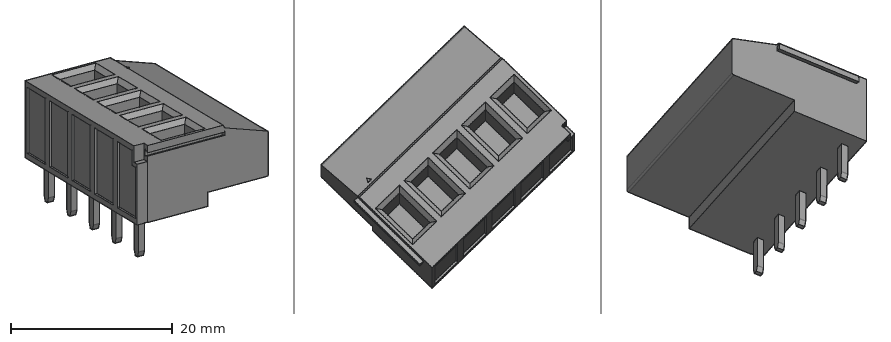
import cadquery as cq


POLES = 5
PITCH = 5.0
FIRST_POLE_X = 2.48
POLE_CENTERS = [FIRST_POLE_X + i * PITCH for i in range(POLES)]

BODY_WIDTH = 25.0
BODY_DEPTH = 19.45
BODY_HEIGHT = 10.4
TOP_BACK_Y = 12.7
LEDGE_Y = 13.0
LEDGE_Z = 9.97
ROOF_BACK_Z = 7.95
FOOT_BACK_Y = 10.45
OVERHANG_Z = 1.9
BACK_EDGE_RADIUS = 0.25

PLATE_THICKNESS = 1.5
PLATE_WIDTH = 24.9
NOTCH_WIDTH = 0.75
NOTCH_HEIGHT = 2.2

WINDOW_WIDTH = 4.0
WINDOW_MARGIN_Z = 0.75
WINDOW_DEPTH = 0.3
NOTCH_WALL_X = 0.45
NOTCH_WALL_Z = 0.55

WELL_WIDTH = 3.0
WELL_LENGTH = 5.3
WELL_CENTER_Y = 7.03
WELL_DEPTH = 6.0
WELL_CHAMFER = 0.6

RAIL_Z = 9.2
RAIL_REACH = 0.64
RAIL_ROOT_HEIGHT = 0.45
RAIL_TIP_HEIGHT = 0.9
RAIL_LENGTH = LEDGE_Y - PLATE_THICKNESS

PIN_WIDTH = 0.98
PIN_THICKNESS = 0.9
PIN_LENGTH = 5.45
PIN_TIP_WIDTH = 0.5
PIN_TIP_LENGTH = 0.75
PIN_FRONT_Y = 1.5

MARK_WIDTH = 0.6
MARK_LENGTH = 0.5
MARK_FRONT_Y = 13.4
MARK_DEPTH = 0.1


def box(x, y, z, width, depth, height):
    """Box given by its minimum corner and its sizes."""
    return cq.Workplane("XY").box(width, depth, height, centered=False).translate((x, y, z))


def extrude_back(points, front_y, depth):
    """Extrude an XZ outline from front_y toward the back."""
    return cq.Workplane("XZ", origin=(0, front_y, 0)).polyline(points).close().extrude(-depth)


def housing():
    side_profile = [
        (PLATE_THICKNESS, 0),
        (FOOT_BACK_Y, 0),
        (FOOT_BACK_Y, OVERHANG_Z),
        (BODY_DEPTH, OVERHANG_Z),
        (BODY_DEPTH, ROOF_BACK_Z),
        (LEDGE_Y, LEDGE_Z),
        (TOP_BACK_Y, BODY_HEIGHT),
        (PLATE_THICKNESS, BODY_HEIGHT),
    ]
    body = cq.Workplane("YZ").polyline(side_profile).close().extrude(BODY_WIDTH)
    return body.faces(">Y").edges("|X").fillet(BACK_EDGE_RADIUS)


def front_plate():
    plate = box(0, 0, 0, PLATE_WIDTH, PLATE_THICKNESS, BODY_HEIGHT)
    notch = box(
        PLATE_WIDTH - NOTCH_WIDTH, 0, BODY_HEIGHT - NOTCH_HEIGHT,
        NOTCH_WIDTH, PLATE_THICKNESS, NOTCH_HEIGHT,
    )
    return plate.cut(notch)


def windows():
    """Shallow front recesses; the last one steps around the plate's corner notch."""
    height = BODY_HEIGHT - 2 * WINDOW_MARGIN_Z
    recesses = cq.Workplane("XY")
    for x in POLE_CENTERS:
        recesses = recesses.add(
            box(x - WINDOW_WIDTH / 2, 0, WINDOW_MARGIN_Z, WINDOW_WIDTH, WINDOW_DEPTH, height)
        )
    wall_width = NOTCH_WIDTH + NOTCH_WALL_X
    wall_height = NOTCH_HEIGHT + NOTCH_WALL_Z
    notch_wall = box(
        PLATE_WIDTH - wall_width, 0, BODY_HEIGHT - wall_height,
        wall_width, WINDOW_DEPTH, wall_height,
    )
    return recesses.combine().cut(notch_wall)


def screw_well(x):
    """Rectangular well with a chamfered mouth in the flat top."""
    shaft = box(
        x - WELL_WIDTH / 2, WELL_CENTER_Y - WELL_LENGTH / 2, BODY_HEIGHT - WELL_DEPTH,
        WELL_WIDTH, WELL_LENGTH, WELL_DEPTH,
    )
    mouth = (
        cq.Workplane("XY", origin=(x, WELL_CENTER_Y, BODY_HEIGHT))
        .rect(WELL_WIDTH + 2 * WELL_CHAMFER, WELL_LENGTH + 2 * WELL_CHAMFER)
        .workplane(offset=-WELL_CHAMFER)
        .rect(WELL_WIDTH, WELL_LENGTH)
        .loft()
    )
    return shaft.union(mouth)


def dovetail(root_x):
    """Dovetail bar that widens toward -X, its narrow root at root_x."""
    tip_x = root_x - RAIL_REACH
    points = [
        (root_x, RAIL_Z - RAIL_ROOT_HEIGHT / 2),
        (root_x, RAIL_Z + RAIL_ROOT_HEIGHT / 2),
        (tip_x, RAIL_Z + RAIL_TIP_HEIGHT / 2),
        (tip_x, RAIL_Z - RAIL_TIP_HEIGHT / 2),
    ]
    return extrude_back(points, PLATE_THICKNESS, RAIL_LENGTH)


def pin(x):
    """Flat pin with a tapered tip, hanging from the underside."""
    taper_z = PIN_TIP_LENGTH - PIN_LENGTH
    points = [
        (x - PIN_WIDTH / 2, 0),
        (x + PIN_WIDTH / 2, 0),
        (x + PIN_WIDTH / 2, taper_z),
        (x + PIN_TIP_WIDTH / 2, -PIN_LENGTH),
        (x - PIN_TIP_WIDTH / 2, -PIN_LENGTH),
        (x - PIN_WIDTH / 2, taper_z),
    ]
    return extrude_back(points, PIN_FRONT_Y, PIN_THICKNESS)


def pole_mark():
    """Triangle sunk into the sloped roof, pointing to the back, with a level floor."""
    roof_slope = (LEDGE_Z - ROOF_BACK_Z) / (BODY_DEPTH - LEDGE_Y)
    mark_back_y = MARK_FRONT_Y + MARK_LENGTH
    floor_z = LEDGE_Z - roof_slope * (mark_back_y - LEDGE_Y) - MARK_DEPTH
    points = [
        (FIRST_POLE_X - MARK_WIDTH / 2, MARK_FRONT_Y),
        (FIRST_POLE_X + MARK_WIDTH / 2, MARK_FRONT_Y),
        (FIRST_POLE_X, mark_back_y),
    ]
    return cq.Workplane("XY", origin=(0, 0, floor_z)).polyline(points).close().extrude(LEDGE_Z - floor_z)


result = housing().union(front_plate()).cut(windows())
for center_x in POLE_CENTERS:
    result = result.cut(screw_well(center_x)).union(pin(center_x))
result = result.union(dovetail(0)).cut(dovetail(BODY_WIDTH)).cut(pole_mark())